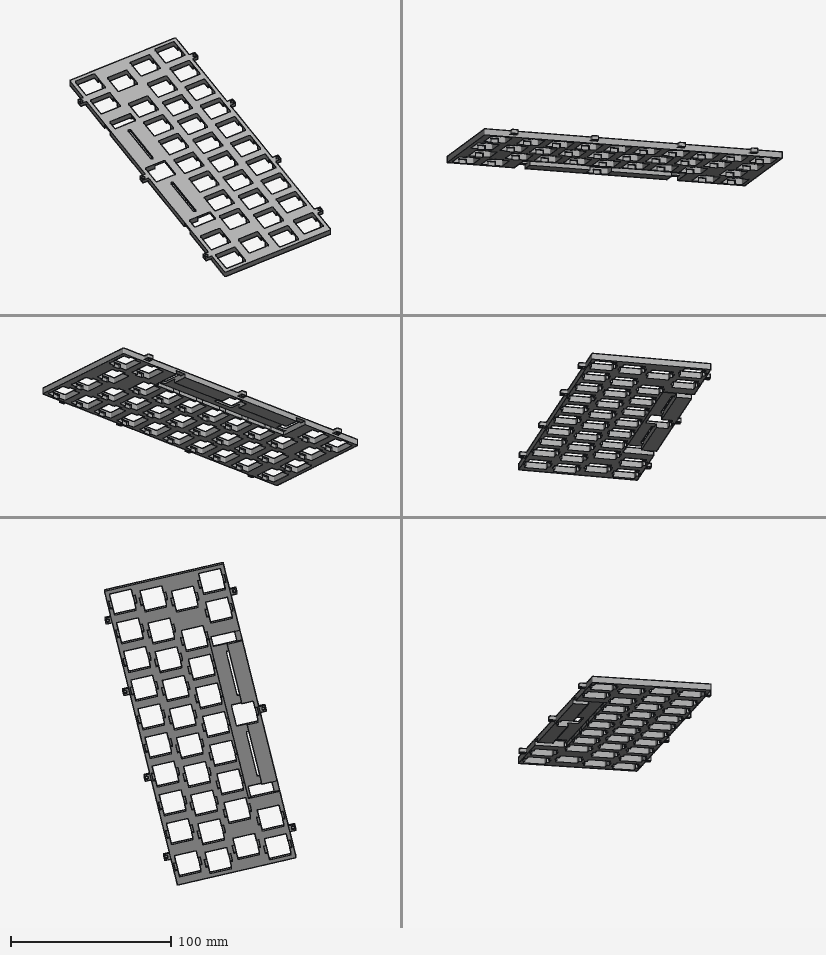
import cadquery as cq
import math

UNIT = 19.05
ROWS = 4
ROW_LENGTH = 10.25
PLATE_X = ROW_LENGTH * UNIT
PLATE_Y = ROWS * UNIT
PLATE_Z = 4.0
PLATE_CORNER_R = 0.5

SKIN = 1.5
RECESS_Z = PLATE_Z - SKIN

SWITCH_SIZE = 14.0
SWITCH_CORNER_R = 0.5
CLIP_WIDTH = 5.0
CLIP_DEPTH = 1.5

SPACE_KEY = 5.125
KEY_ROWS = [
    [0.5 + i for i in range(9)] + [9.625],
    [0.625] + [1.75 + i for i in range(9)],
    [0.875] + [2.25 + i for i in range(7)] + [9.5],
    [0.5, 1.5, SPACE_KEY, 8.75, 9.75],
]

STAB_OFFSET = 50.0
STAB_WIDTH = 7.0
STAB_LENGTH = 15.0
STAB_CORNER_R = 0.5
STAB_SHIFT_Y = 1.5
SLOT_OFFSET = 26.75
SLOT_LENGTH = 29.5
SLOT_WIDTH = 1.75
SLOT_CORNER_R = 0.75
SLOT_SHIFT_Y = 1.1
WIRE_LEFT_STEP = 1.2
WIRE_REAR_MARGIN = 1.5

TAB_WIDTH = 4.0
TAB_LENGTH = 4.0
TAB_Z = 2.5
TAB_ROOT_R = 0.5
TAB_TIP_R = 0.5
TAB_HOLE_D = 2.0
TAB_HOLE_REACH = 2.5
LEFT_TAB = 19.35
RIGHT_TAB = 176.45
REAR_TABS = [LEFT_TAB, 66.8, 123.75, RIGHT_TAB]
FRONT_TABS = [LEFT_TAB, 97.25, RIGHT_TAB]


def unit_x(units):
    """X of a place given in key units from the left edge."""
    return units * UNIT - PLATE_X / 2


def row_y(row):
    """Y of the centre line of a row, counted from the rear."""
    return PLATE_Y / 2 - (row + 0.5) * UNIT


def blocks(centres, size_x, size_y, height):
    """Equal boxes standing on Z = 0 at the given centres."""
    return cq.Workplane("XY").pushPoints(centres).rect(size_x, size_y).extrude(height)


def block_between(x0, x1, y0, y1, height):
    """Box standing on Z = 0 between the given limits."""
    return blocks([((x0 + x1) / 2, (y0 + y1) / 2)], x1 - x0, y1 - y0, height)


def add_tabs(body, places, side):
    """Join tabs to the rear edge (side = 1) or the front edge (side = -1) and drill them."""
    edge_y = side * PLATE_Y / 2
    centres = [(place - PLATE_X / 2, edge_y) for place in places]
    tips = blocks(centres, TAB_WIDTH, 2 * TAB_LENGTH, TAB_Z).edges("|Z").fillet(TAB_TIP_R)
    body = body.union(tips.translate((0, 0, PLATE_Z - TAB_Z)))
    for x, _ in centres:
        for x_side in (-1, 1):
            body = body.union(root_fillet(x + x_side * TAB_WIDTH / 2, edge_y, x_side, side))
    holes = [(x, edge_y + side * TAB_HOLE_REACH) for x, _ in centres]
    return body.cut(cq.Workplane("XY").pushPoints(holes).circle(TAB_HOLE_D / 2).extrude(PLATE_Z))


def root_fillet(x, y, x_side, y_side):
    """Concave fillet filling the corner (x, y) between a tab and the plate edge."""
    reach_x = x_side * TAB_ROOT_R
    reach_y = y_side * TAB_ROOT_R
    bulge = 1 - math.sqrt(0.5)
    return (
        cq.Workplane("XY", origin=(x, y, PLATE_Z - TAB_Z))
        .lineTo(reach_x, 0)
        .threePointArc((reach_x * bulge, reach_y * bulge), (0, reach_y))
        .close()
        .extrude(TAB_Z)
    )


def cut_switches(body):
    """Cut the switch openings and the clip recesses at their front and rear walls."""
    centres = [(unit_x(key), row_y(row)) for row, keys in enumerate(KEY_ROWS) for key in keys]
    openings = blocks(centres, SWITCH_SIZE, SWITCH_SIZE, PLATE_Z).edges("|Z").fillet(SWITCH_CORNER_R)
    clips = blocks(centres, CLIP_WIDTH, SWITCH_SIZE + 2 * CLIP_DEPTH, RECESS_Z)
    return body.cut(openings).cut(clips)


def cut_stabilizer(body):
    """Cut the housings, open to the front edge below the skin, the slots and the wire recess."""
    x = unit_x(SPACE_KEY)
    stab_y = row_y(ROWS - 1) + STAB_SHIFT_Y
    slot_y = row_y(ROWS - 1) + SLOT_SHIFT_Y
    stabs = [(x - STAB_OFFSET, stab_y), (x + STAB_OFFSET, stab_y)]
    slots = [(x - SLOT_OFFSET, slot_y), (x + SLOT_OFFSET, slot_y)]
    housings = blocks(stabs, STAB_WIDTH, STAB_LENGTH, PLATE_Z).edges("|Z").fillet(STAB_CORNER_R)
    body = body.cut(housings)
    openings = blocks(slots, SLOT_LENGTH, SLOT_WIDTH, PLATE_Z).edges("|Z").fillet(SLOT_CORNER_R)
    body = body.cut(openings)

    half_width = STAB_WIDTH / 2
    for stab_x, _ in stabs:
        front_opening = block_between(
            stab_x - half_width, stab_x + half_width, -PLATE_Y / 2, stab_y, RECESS_Z
        )
        body = body.cut(front_opening)

    wire_recess = block_between(
        x - STAB_OFFSET - half_width + WIRE_LEFT_STEP,
        x + STAB_OFFSET + half_width,
        slot_y - SLOT_WIDTH / 2,
        stab_y + STAB_LENGTH / 2 + WIRE_REAR_MARGIN,
        RECESS_Z,
    )
    return body.cut(wire_recess)


plate = blocks([(0, 0)], PLATE_X, PLATE_Y, PLATE_Z).edges("|Z").fillet(PLATE_CORNER_R)
plate = add_tabs(plate, REAR_TABS, 1)
plate = add_tabs(plate, FRONT_TABS, -1)
plate = cut_switches(plate)
plate = cut_stabilizer(plate)

result = plate